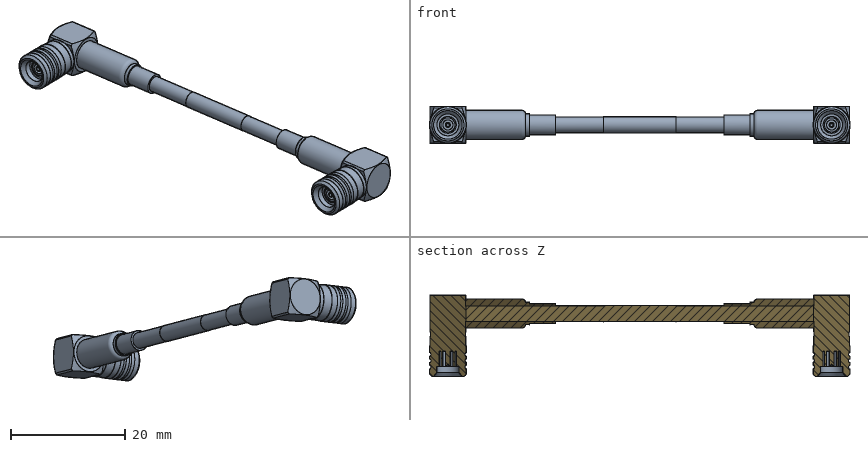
import cadquery as cq
import math

overall_length = 73.8

elbow_width = 6.35
elbow_size = 6.5
elbow_edge_chamfer = 0.3
elbow_corner_angle = 30.0

plug_radius = 3.25
collar_radius = 3.2
collar_ring_y = -4.0
plug_shoulder_y = -5.7
plug_face_y = -11.1
plug_tip_chamfer = 0.45
ring_radius = 3.1

groove_count = 3
groove_pitch = 1.1
groove_width = 0.7
groove_depth = 0.2
first_groove_y = -7.15

mouth_radius = 2.5
shoulder_radius = 1.9
mouth_depth = 0.75
ledge_depth = 1.8
bore_radius = 1.5
bore_depth = 4.4
tube_outer_radius = 1.25
tube_inner_radius = 0.9
pin_radius = 0.45
pin_dimple_radius = 0.3
pin_dimple_depth = 0.45
insert_setback = 1.8

sleeve_radius = 2.6
sleeve_lip_radius = 2.0
sleeve_tail_radius = 1.8
sleeve_length = 9.75
sleeve_round_length = 0.75
sleeve_lip_length = 0.7
sleeve_tail_end_x = -14.75

cable_diameter = 2.8
band_diameter = 2.9
band_length = 12.7

connector_x = overall_length / 2 - plug_radius
elbow_face_x = elbow_width / 2 - connector_x
elbow_half = elbow_size / 2
cable_radius = cable_diameter / 2
socket_floor_y = plug_face_y + bore_depth
insert_end_y = plug_face_y + insert_setback
insert_length = socket_floor_y - insert_end_y


def rod_along_y(radius, start_y, length):
    """Solid cylinder about the Y axis, from start_y towards +Y."""
    return cq.Workplane("XZ", origin=(0, start_y, 0)).circle(radius).extrude(-length)


def rod_along_x(radius, length):
    """Solid cylinder about the X axis, centred on x = 0."""
    return cq.Workplane("YZ", origin=(-length / 2, 0, 0)).circle(radius).extrude(length)


def make_elbow():
    """Square block whose eight corners are turned off by a cone at each end."""
    block = (
        cq.Workplane("XY")
        .box(elbow_width, elbow_size, elbow_size)
        .edges("|X")
        .chamfer(elbow_edge_chamfer)
    )
    face_radius = elbow_width / 2
    outer_radius = elbow_size
    cone_length = (outer_radius - face_radius) * math.tan(math.radians(elbow_corner_angle))
    half_width = elbow_width / 2
    turned_envelope = (
        cq.Workplane("XY")
        .moveTo(-half_width, 0)
        .lineTo(-half_width, face_radius)
        .lineTo(-half_width + cone_length, outer_radius)
        .lineTo(half_width - cone_length, outer_radius)
        .lineTo(half_width, face_radius)
        .lineTo(half_width, 0)
        .close()
        .revolve(360, (0, 0, 0), (1, 0, 0))
    )
    return block.intersect(turned_envelope)


def make_barrel():
    """Plug barrel with its collar, grip grooves and chamfered tip."""
    profile = (
        cq.Workplane("XY")
        .moveTo(0, -elbow_half)
        .lineTo(ring_radius, -elbow_half)
        .lineTo(ring_radius, collar_ring_y)
        .lineTo(collar_radius, collar_ring_y)
        .lineTo(collar_radius, plug_shoulder_y)
        .lineTo(plug_radius, plug_shoulder_y)
    )
    for index in range(groove_count):
        groove_y = first_groove_y - index * groove_pitch
        profile = profile.lineTo(plug_radius, groove_y + groove_width / 2).threePointArc(
            (plug_radius - groove_depth, groove_y),
            (plug_radius, groove_y - groove_width / 2),
        )
    return (
        profile.lineTo(plug_radius, plug_face_y + plug_tip_chamfer)
        .lineTo(plug_radius - plug_tip_chamfer, plug_face_y)
        .lineTo(0, plug_face_y)
        .close()
        .revolve(360, (0, 0, 0), (0, 1, 0))
    )


def make_socket():
    """Space inside the plug: a tapered mouth, a ledge and a straight bore."""
    ledge_y = plug_face_y + ledge_depth
    return (
        cq.Workplane("XY")
        .moveTo(0, plug_face_y)
        .lineTo(mouth_radius, plug_face_y)
        .lineTo(shoulder_radius, plug_face_y + mouth_depth)
        .lineTo(shoulder_radius, ledge_y)
        .lineTo(bore_radius, ledge_y)
        .lineTo(bore_radius, socket_floor_y)
        .lineTo(0, socket_floor_y)
        .close()
        .revolve(360, (0, 0, 0), (0, 1, 0))
    )


def make_tube():
    """Tube round the contact, standing on the socket floor."""
    outer = rod_along_y(tube_outer_radius, insert_end_y, insert_length)
    return outer.cut(rod_along_y(tube_inner_radius, insert_end_y, insert_length))


def make_pin():
    """Centre contact with a conical dimple in its end."""
    return (
        cq.Workplane("XY")
        .moveTo(0, insert_end_y + pin_dimple_depth)
        .lineTo(pin_dimple_radius, insert_end_y)
        .lineTo(pin_radius, insert_end_y)
        .lineTo(pin_radius, socket_floor_y)
        .lineTo(0, socket_floor_y)
        .close()
        .revolve(360, (0, 0, 0), (0, 1, 0))
    )


def make_connector():
    """Right-angle connector centred on its elbow."""
    plug = make_barrel().cut(make_socket())
    return make_elbow().union(plug).union(make_tube()).union(make_pin())


def make_sleeve():
    """Left strain relief sleeve, bored for the cable."""
    round_start_x = elbow_face_x + sleeve_length
    round_end_x = round_start_x + sleeve_round_length
    lip_end_x = round_end_x + sleeve_lip_length
    return (
        cq.Workplane("XY")
        .moveTo(elbow_face_x, cable_radius)
        .lineTo(elbow_face_x, sleeve_radius)
        .lineTo(round_start_x, sleeve_radius)
        .tangentArcPoint((round_end_x, sleeve_lip_radius), relative=False)
        .lineTo(lip_end_x, sleeve_lip_radius)
        .lineTo(lip_end_x, sleeve_tail_radius)
        .lineTo(sleeve_tail_end_x, sleeve_tail_radius)
        .lineTo(sleeve_tail_end_x, cable_radius)
        .close()
        .revolve(360, (0, 0, 0), (1, 0, 0))
    )


def make_cable():
    """Cable between the two elbows, with a label band round its middle."""
    cable = rod_along_x(cable_radius, -2 * elbow_face_x)
    return cable.union(rod_along_x(band_diameter / 2, band_length))


left_connector = make_connector().translate((-connector_x, 0, 0))
left_sleeve = make_sleeve()
cable = make_cable()

bodies = [cable.val()]
for turn in (0, 180):
    for end_body in (left_connector, left_sleeve):
        bodies.append(end_body.rotate((0, 0, 0), (0, 1, 0), turn).val())

result = cq.Compound.makeCompound(bodies)